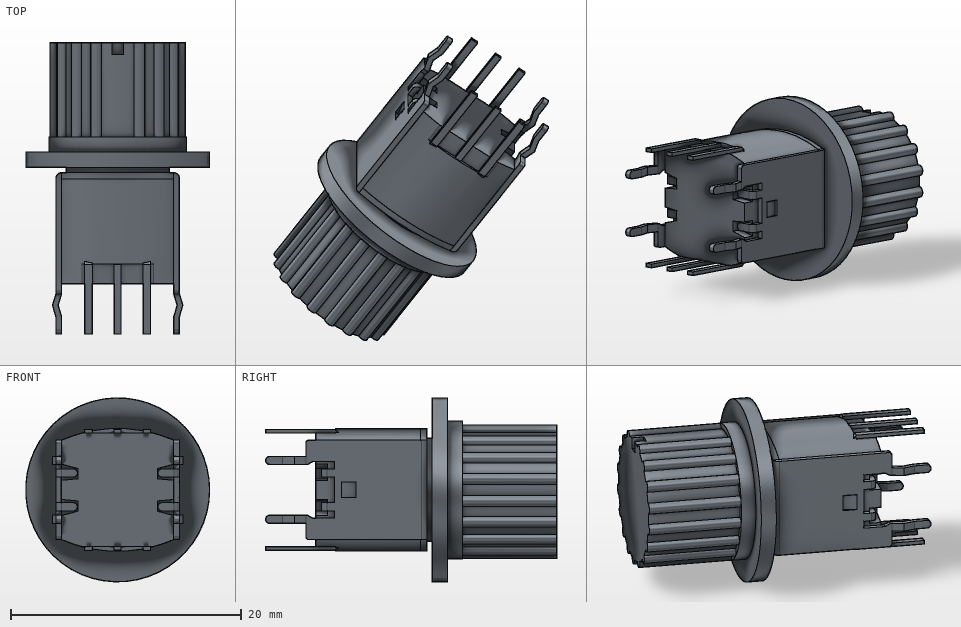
import cadquery as cq


knob_end_y = 11.28
grip_start_y = 3.09
flange_front_y = 1.8
flange_back_y = 0.45
flange_diameter = 16.0
collar_diameter = 12.0
rib_radius = 0.48
rib_pitch_count = 18
core_radius = 5.5
notch_size = 1.0

bushing_diameter = 8.98

sheet = 0.5
front_sheet = 0.55
bracket_half_width = 5.36
bend_radius = 0.48
inner_half_width = bracket_half_width - sheet
side_half_height = 4.33
crown_height = 5.35
side_end_y = -10.52
side_corner_radius = 0.25
window_y = -8.02
window_half_height = 2.45
latch_front_y = -6.15
latch_back_y = -7.41
latch_width = 1.37
latch_drop = 0.25

leg_width = 0.7
leg_z = 2.55
overall_length = 25.3
leg_tip_y = knob_end_y - overall_length
leg_kink_y = -11.5
leg_straight_y = -12.55
leg_kink = 0.3
leg_root_y = -10.37
leg_neck_y = -9.92

finger_width = 0.7
finger_z = 1.47
finger_end_y = -9.15
finger_tip_x = 3.5

base_end_y = -9.66
slot_floor_y = finger_end_y + sheet
slot_end_x = 3.45
slot_outer_z = (0.83, 2.23)
slot_inner_z = (0.95, 1.85)
seat_z = 4.93
seat_y = -7.95
seat_width = 6.32
pin_thickness = 0.33
pin_start_y = -7.65
outer_pin_width = 0.65
middle_pin_width = 0.6
pin_spacing = 2.53


def disc(diameter, back_y, front_y):
    """Cylinder on the Y axis from back_y to front_y."""
    return cq.Workplane("XZ", origin=(0, front_y, 0)).circle(diameter / 2).extrude(front_y - back_y)


def block(x_range, y_range, z_range):
    """Box given by its two limits on each axis."""
    lows = [min(limits) for limits in (x_range, y_range, z_range)]
    spans = [max(limits) - min(limits) for limits in (x_range, y_range, z_range)]
    return cq.Workplane("XY").box(*spans, centered=False).translate(tuple(lows))


def in_four_corners(shape):
    """The shape and its mirror images in X and Z, as a list."""
    pair = [shape, shape.mirror("YZ")]
    return pair + [item.mirror("XY") for item in pair]


def crowned_prism(back_y, front_y):
    """Case section with flat sides and crowned top and bottom, between the side plates."""
    return (
        cq.Workplane("XZ", origin=(0, front_y, 0))
        .moveTo(-inner_half_width, side_half_height)
        .threePointArc((0, crown_height), (inner_half_width, side_half_height))
        .lineTo(inner_half_width, -side_half_height)
        .threePointArc((0, -crown_height), (-inner_half_width, -side_half_height))
        .close()
        .extrude(front_y - back_y)
    )


def make_knob():
    knob = disc(2 * core_radius, grip_start_y, knob_end_y)
    knob = knob.union(disc(collar_diameter, flange_front_y, grip_start_y))
    knob = knob.union(disc(flange_diameter, flange_back_y, flange_front_y))
    rib = disc(2 * rib_radius, grip_start_y, knob_end_y).translate((0, 0, core_radius))
    for index in range(1, rib_pitch_count):
        knob = knob.union(rib.rotate((0, 0, 0), (0, 1, 0), index * 360 / rib_pitch_count))
    notch = block(
        (-notch_size / 2, notch_size / 2),
        (knob_end_y - notch_size, knob_end_y),
        (core_radius - notch_size, core_radius + rib_radius),
    )
    return knob.cut(notch)


def leg_outline():
    """Straight bar along Y with a half-round tip, wide enough in X to trim the kinked leg."""
    low_z = leg_z - leg_width / 2
    high_z = leg_z + leg_width / 2
    round_start_y = leg_tip_y + leg_width / 2
    return (
        cq.Workplane("YZ")
        .moveTo(leg_root_y, low_z)
        .lineTo(round_start_y, low_z)
        .threePointArc((leg_tip_y, leg_z), (round_start_y, high_z))
        .lineTo(leg_root_y, high_z)
        .close()
        .extrude(bracket_half_width + leg_kink)
    )


def make_leg():
    """Kinked solder leg at +X, +Z with a rounded tip."""
    outer = bracket_half_width
    inner = inner_half_width
    kinked_bar = (
        cq.Workplane("XY", origin=(0, 0, leg_z - leg_width / 2))
        .polyline([
            (inner, leg_root_y),
            (outer, leg_root_y),
            (outer, side_end_y),
            (outer + leg_kink, leg_kink_y),
            (outer, leg_straight_y),
            (outer, leg_tip_y),
            (inner, leg_tip_y),
            (inner, leg_straight_y),
            (inner + leg_kink, leg_kink_y),
            (inner, side_end_y),
        ])
        .close()
        .extrude(leg_width)
    )
    return kinked_bar.intersect(leg_outline())


def make_leg_gusset():
    """Slanted neck that joins the leg to the window edge."""
    leg_inner_z = leg_z - leg_width / 2
    return (
        cq.Workplane("YZ", origin=(inner_half_width, 0, 0))
        .polyline([
            (leg_neck_y, window_half_height),
            (leg_root_y, leg_inner_z),
            (side_end_y, leg_inner_z),
            (side_end_y, window_half_height),
        ])
        .close()
        .extrude(sheet)
    )


def make_finger():
    """Clamping finger at +X, +Z, bent inward over the base, with a rounded tip."""
    low_z = finger_z - finger_width / 2
    high_z = finger_z + finger_width / 2
    arm = block((inner_half_width, bracket_half_width), (finger_end_y, window_y), (low_z, high_z))
    round_start_x = finger_tip_x + finger_width / 2
    hook = (
        cq.Workplane("XZ", origin=(0, slot_floor_y, 0))
        .moveTo(bracket_half_width, low_z)
        .lineTo(round_start_x, low_z)
        .threePointArc((finger_tip_x, finger_z), (round_start_x, high_z))
        .lineTo(bracket_half_width, high_z)
        .close()
        .extrude(sheet)
    )
    return arm.union(hook).edges("|Z and >X and <Y").fillet(bend_radius)


def make_bracket():
    bracket = crowned_prism(-front_sheet, 0)
    side = block(
        (inner_half_width, bracket_half_width), (side_end_y, 0), (-side_half_height, side_half_height)
    )
    side = side.edges("|X and <Y").fillet(side_corner_radius)
    side = side.edges("|Z and >X and >Y").fillet(bend_radius)
    window = block(
        (0, bracket_half_width), (side_end_y, window_y), (-window_half_height, window_half_height)
    )
    latch_hole = block(
        (0, bracket_half_width), (latch_back_y, latch_front_y), (-latch_width / 2, latch_width / 2)
    )
    side = side.cut(window).cut(latch_hole)
    bracket = bracket.union(side).union(side.mirror("YZ"))
    for detail in (make_leg(), make_leg_gusset(), make_finger()):
        for copy in in_four_corners(detail):
            bracket = bracket.union(copy)
    return bracket


def make_latch():
    """Ramped catch at +X that fills the latch hole, flush at its back end."""
    return (
        cq.Workplane("XY", origin=(0, 0, -latch_width / 2))
        .polyline([
            (inner_half_width, latch_front_y),
            (bracket_half_width - latch_drop, latch_front_y),
            (bracket_half_width, latch_back_y),
            (inner_half_width, latch_back_y),
        ])
        .close()
        .extrude(latch_width)
    )


def make_finger_slot():
    """Tapered slot at +X, +Z that takes a clamping finger."""
    return (
        cq.Workplane("XZ", origin=(0, slot_floor_y, 0))
        .polyline([
            (slot_end_x, slot_inner_z[0]),
            (inner_half_width, slot_outer_z[0]),
            (inner_half_width, slot_outer_z[1]),
            (slot_end_x, slot_inner_z[1]),
        ])
        .close()
        .extrude(slot_floor_y - base_end_y)
    )


def make_pin(x, width):
    """Flat terminal on the top seat; its buried end is bevelled."""
    return (
        cq.Workplane("YZ", origin=(x - width / 2, 0, 0))
        .polyline([
            (leg_tip_y, seat_z),
            (pin_start_y, seat_z),
            (pin_start_y - pin_thickness, seat_z + pin_thickness),
            (leg_tip_y, seat_z + pin_thickness),
        ])
        .close()
        .extrude(width)
    )


def make_base():
    base = crowned_prism(base_end_y, -front_sheet)
    seat = block((-seat_width / 2, seat_width / 2), (base_end_y, seat_y), (seat_z, crown_height))
    base = base.cut(seat).cut(seat.mirror("XY"))
    for slot in in_four_corners(make_finger_slot()):
        base = base.cut(slot)
    latch = make_latch()
    base = base.union(latch).union(latch.mirror("YZ"))
    for x, width in ((-pin_spacing, outer_pin_width), (0, middle_pin_width), (pin_spacing, outer_pin_width)):
        pin = make_pin(x, width)
        base = base.union(pin).union(pin.mirror("XY"))
    return base


knob = make_knob()
bushing = disc(bushing_diameter, 0, flange_back_y)
bracket = make_bracket()
base = make_base()

result = cq.Compound.makeCompound([body.solids().val() for body in (knob, bushing, bracket, base)])